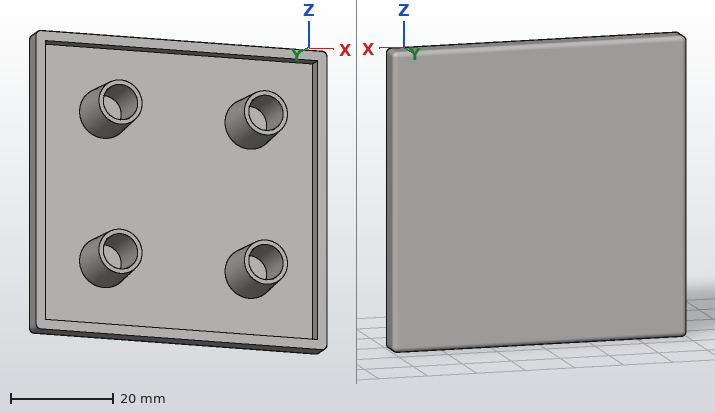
import cadquery as cq

side = 60.0
total_depth = 12.3
plate_depth = 5.0
wall = 2.0
floor_thickness = 2.0
edge_radius = 1.0

peg_spacing = side / 2
peg_tip_radius = 4.45
peg_base_radius = 5.05
peg_bore_radius = 3.55

y_back = total_depth / 2
y_tip = -total_depth / 2
y_rim = y_back - plate_depth
y_floor = y_back - floor_thickness
peg_length = y_floor - y_tip


def make_cap():
    """Shallow square tray with rounded corners and back edges."""
    block = cq.Workplane("XY").box(side, plate_depth, side)
    block = block.translate((0, y_back - plate_depth / 2, 0))
    block = block.edges("|Y or >Y").fillet(edge_radius)
    opening = side - 2 * wall
    recess_depth = y_floor - y_rim
    recess = cq.Workplane("XY").box(opening, recess_depth, opening)
    return block.cut(recess.translate((0, y_rim + recess_depth / 2, 0)))


def make_peg(x, z):
    """Tapered tube from the floor to the tip, bored down to the floor."""
    base = cq.Vector(x, y_floor, z)
    outward = cq.Vector(0, -1, 0)
    cone = cq.Solid.makeCone(peg_base_radius, peg_tip_radius, peg_length, base, outward)
    bore = cq.Solid.makeCylinder(peg_bore_radius, peg_length, base, outward)
    return cone.cut(bore)


result = make_cap()
for x in (-peg_spacing / 2, peg_spacing / 2):
    for z in (-peg_spacing / 2, peg_spacing / 2):
        result = result.union(cq.Workplane(obj=make_peg(x, z)))